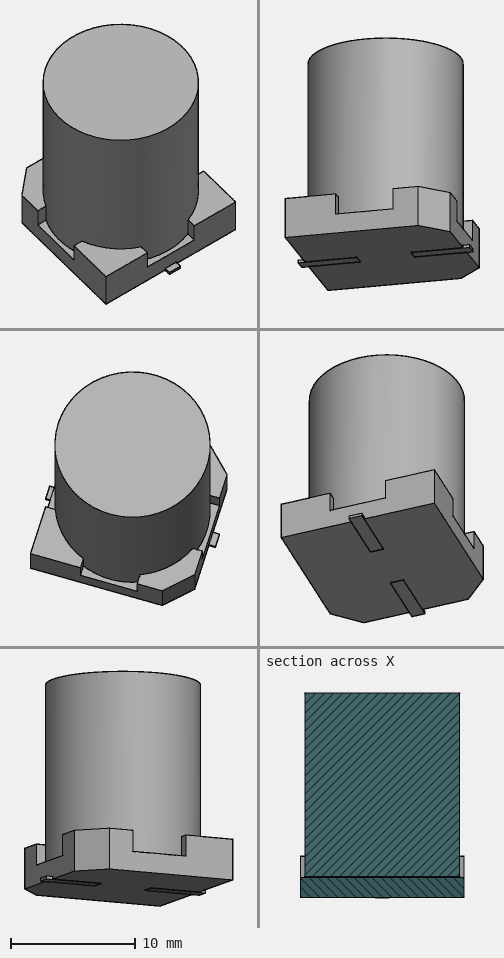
import cadquery as cq

TOTAL_HEIGHT = 16.56
LEAD_SPAN = 14.3

BASE_SIDE = 13.21
BASE_HEIGHT = 3.35
STANDOFF = 0.05
CORNER_CUT = 2.1
SLOT_WIDTH = 4.77
BASE_TOP = STANDOFF + BASE_HEIGHT
FLOOR_Z = 1.67

CAN_DIAMETER = 12.54
CAN_CLEARANCE = 0.07
CAN_BOTTOM_Z = FLOOR_Z + CAN_CLEARANCE

LEAD_WIDTH = 1.13
LEAD_THICKNESS = 0.25
LEAD_GAP = 4.5
LEAD_LENGTH = (LEAD_SPAN - LEAD_GAP) / 2
LEAD_CENTER_X = (LEAD_SPAN + LEAD_GAP) / 4


def make_can():
    """Cylinder from just above the pocket floor to the top of the part."""
    height = TOTAL_HEIGHT - CAN_BOTTOM_Z
    return cq.Workplane("XY", origin=(0, 0, CAN_BOTTOM_Z)).circle(CAN_DIAMETER / 2).extrude(height)


def make_lead(side):
    """Flat lead on the -X side (side = -1) or the +X side (side = 1)."""
    return (
        cq.Workplane("XY", origin=(side * LEAD_CENTER_X, 0, 0))
        .rect(LEAD_LENGTH, LEAD_WIDTH)
        .extrude(LEAD_THICKNESS)
    )


def make_base(leads):
    """Block with a round pocket, crossing slots and recesses for the leads."""
    block = (
        cq.Workplane("XY", origin=(0, 0, STANDOFF))
        .rect(BASE_SIDE, BASE_SIDE)
        .extrude(BASE_HEIGHT)
        .edges("|Z and <X")
        .chamfer(CORNER_CUT)
    )

    upper = cq.Workplane("XY", origin=(0, 0, FLOOR_Z))
    depth = BASE_TOP - FLOOR_Z
    pocket = upper.circle(CAN_DIAMETER / 2).extrude(depth)
    slot_along_x = upper.rect(BASE_SIDE, SLOT_WIDTH).extrude(depth)
    slot_along_y = upper.rect(SLOT_WIDTH, BASE_SIDE).extrude(depth)
    base = block.cut(pocket).cut(slot_along_x).cut(slot_along_y)

    for lead in leads:
        base = base.cut(lead)
    return base


can = make_can()
leads = [make_lead(side) for side in (-1, 1)]
base = make_base(leads)

result = cq.Compound.makeCompound([can.val(), base.val(), *[lead.val() for lead in leads]])